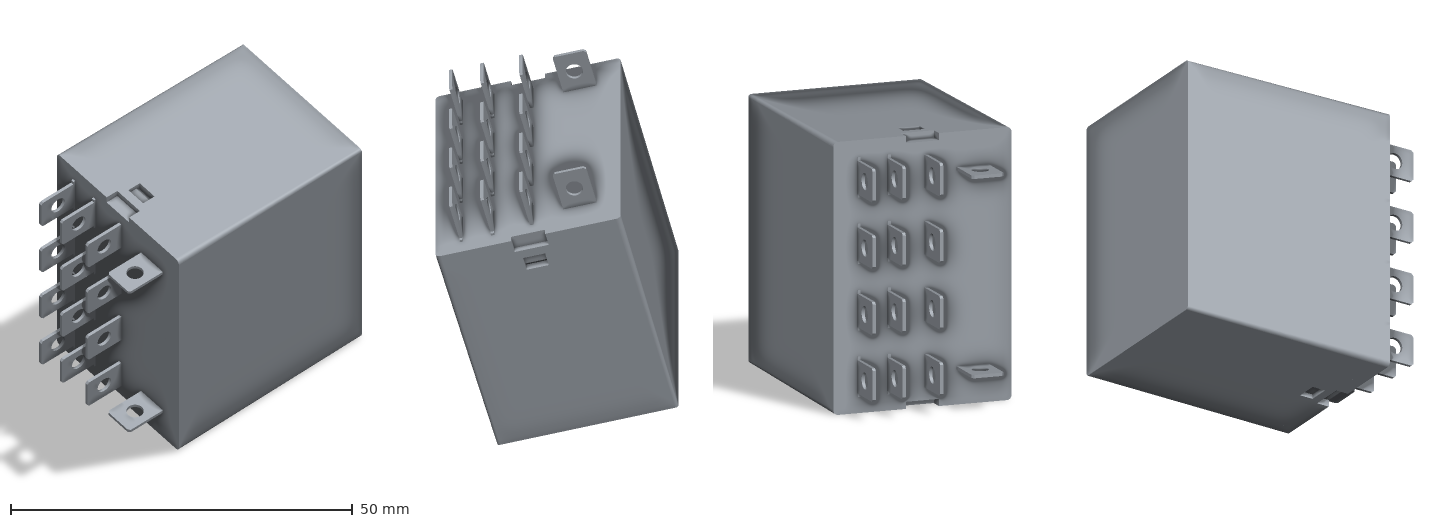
import cadquery as cq
import math

case_width = 28.0
case_height = 41.0
front_y = -14.3
back_y = 20.7
case_length = back_y - front_y
case_taper_angle = 0.5
corner_radius = 0.75

plate_thickness = 2.03
plate_back_y = front_y + plate_thickness

notch_width = 5.18
notch_depth = 1.08

window_width = 3.4
window_front_y = -10.9
window_length = 2.15
window_floor_length = 1.5
window_floor_depth = 0.75
window_ramp_angle = 45.0

tab_width = 15.0
tab_length = 3.48
tab_thickness = 1.0

plug_diameter = 6.05

right_column = 7.82

tip_y = -20.7
blade_length = front_y - tip_y
blade_width = 5.0
blade_thickness = 0.5
blade_corner_chamfer = 0.35
blade_hole_diameter = 2.53
blade_hole_setback = 3.2
row_pitch = 9.98
row_count = 4
row_heights = [(row - (row_count - 1) / 2) * row_pitch for row in range(row_count)]
collared_columns = [-10.05, -5.35]
plain_column = 0.55
flat_blade_heights = [row_heights[0], row_heights[-1]]

collar_width = 6.05
collar_height = 0.35


def make_case():
    """Solid envelope of the cover and base plate together."""
    outline = cq.Sketch().rect(case_width, case_height).vertices().fillet(corner_radius)
    return (
        cq.Workplane("XZ", origin=(0, front_y, 0))
        .placeSketch(outline)
        .extrude(-case_length, taper=case_taper_angle)
    )


def make_front_slice():
    """Block that reaches back to the joint between the base plate and the cover."""
    return cq.Workplane("XY").box(case_width, 2 * plate_thickness, case_height).translate(
        (0, front_y, 0)
    )


def make_window_cutter():
    """Recess in the upper side: a flat floor that drops away in a ramp toward the back."""
    top = case_height / 2
    floor_z = top - window_floor_depth
    floor_end_y = window_front_y + window_floor_length
    window_back_y = window_front_y + window_length
    ramp_drop = (window_back_y - floor_end_y) * math.tan(math.radians(window_ramp_angle))
    return (
        cq.Workplane("YZ", origin=(-window_width / 2, 0, 0))
        .moveTo(window_front_y, top)
        .lineTo(window_front_y, floor_z)
        .lineTo(floor_end_y, floor_z)
        .lineTo(window_back_y, floor_z - ramp_drop)
        .lineTo(window_back_y, top)
        .close()
        .extrude(window_width)
    )


def make_tab(case, side):
    """Side tab behind the base plate, with its outer face flush with the case."""
    block = cq.Workplane("XY").box(2 * tab_thickness, tab_length, tab_width).translate(
        (side * case_width / 2, plate_back_y + tab_length / 2, 0)
    )
    return case.intersect(block)


def make_cover(case, tabs):
    """Rear part of the case, with the snap windows and the recesses for the tabs."""
    window = make_window_cutter()
    cover = case.cut(make_front_slice()).cut(window).cut(window.mirror("XY"))
    for tab in tabs:
        cover = cover.cut(tab)
    return cover


def make_blade():
    """Terminal blade standing upright in the YZ plane, centred on X and Z."""
    return (
        cq.Workplane("XY")
        .box(blade_thickness, blade_length, blade_width)
        .translate((0, tip_y + blade_length / 2, 0))
        .faces("<Y")
        .edges("|X")
        .chamfer(blade_corner_chamfer)
        .cut(
            cq.Workplane("YZ")
            .center(tip_y + blade_hole_setback, 0)
            .circle(blade_hole_diameter / 2)
            .extrude(blade_thickness, both=True)
        )
    )


def make_collar():
    """Low step that widens the root of a blade."""
    return cq.Workplane("XY").box(blade_thickness, collar_height, collar_width).translate(
        (0, front_y - collar_height / 2, 0)
    )


def make_plug():
    """Round plug through the base plate."""
    return (
        cq.Workplane("XZ", origin=(right_column, front_y, 0))
        .circle(plug_diameter / 2)
        .extrude(-plate_thickness)
    )


def make_base(case, plug):
    """Front slice of the case with its notches, the plug hole and all the terminals."""
    base = case.intersect(make_front_slice()).cut(plug)
    for side in (-1, 1):
        notch = cq.Workplane("XY").box(notch_width, 2 * plate_thickness, 2 * notch_depth)
        base = base.cut(notch.translate((0, front_y, side * case_height / 2)))

    blade = make_blade()
    collared_blade = blade.union(make_collar())
    for z in row_heights:
        for x in collared_columns:
            base = base.union(collared_blade.translate((x, 0, z)))
        base = base.union(blade.translate((plain_column, 0, z)))

    flat_blade = blade.rotate((0, 0, 0), (0, 1, 0), 90)
    for z in flat_blade_heights:
        base = base.union(flat_blade.translate((right_column, 0, z)))
    return base


case = make_case()
plug = make_plug()
tabs = [make_tab(case, side) for side in (-1, 1)]
cover = make_cover(case, tabs)
base = make_base(case, plug)

bodies = [cover, base, plug, *tabs]
result = cq.Compound.makeCompound([body.solids().val() for body in bodies])